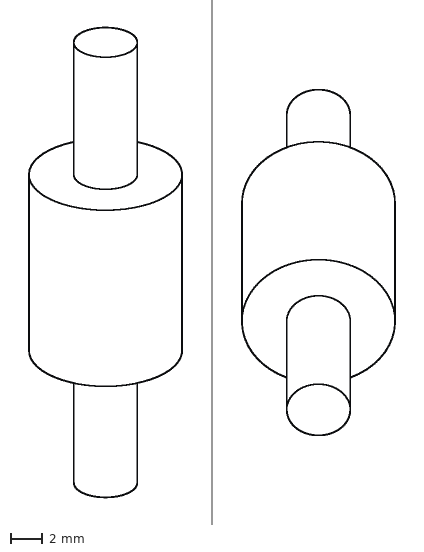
import cadquery as cq

total_length = 31.75
core_diameter = 9.78
core_length = 12.7
stud_diameter = 4.05

stud_length = (total_length - core_length) / 2


def make_core():
    """Large middle cylinder, centred on the origin along Z."""
    return cq.Workplane("XY").cylinder(core_length, core_diameter / 2)


def make_stud(direction):
    """Thin cylinder standing on one end face of the middle cylinder; direction is +1 or -1 along Z."""
    end_face = cq.Workplane("XY").workplane(offset=direction * core_length / 2)
    return end_face.circle(stud_diameter / 2).extrude(direction * stud_length)


core = make_core()
studs = [make_stud(direction) for direction in (1, -1)]

result = cq.Compound.makeCompound([core.val(), *[stud.val() for stud in studs]])